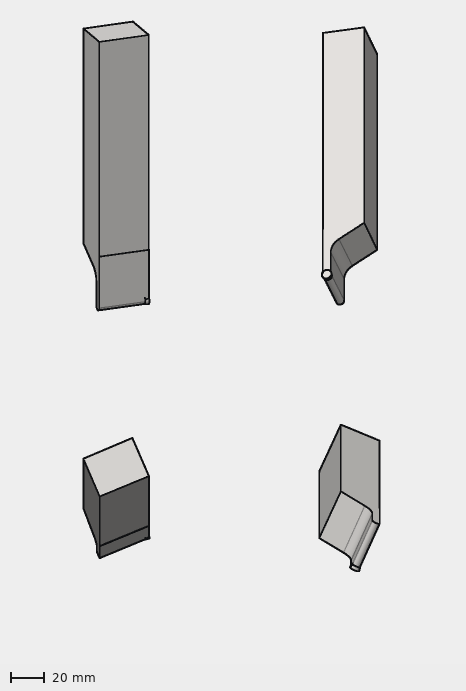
import cadquery as cq
import math

total_height = 171.4
total_width = 26.0
total_depth = 32.0

insert_diameter = 6.0
insert_seat_diameter = 5.3
insert_thickness = 2.5
insert_overhang = 0.2
insert_x = total_width - insert_diameter / 2
insert_z = insert_diameter / 2

holder_depth = total_depth - insert_overhang
shank_right = 25.4
shank_bottom = 35.3
side_relief = 0.25

blade_width = 5.0
blade_left = insert_x - blade_width / 2
blade_right = insert_x + blade_width / 2
blade_radius = blade_width / 2
shoulder_angle = math.radians(30)
shoulder_radius = 10.0


def make_holder_profile():
    """Shank, sloping shoulder and round-ended blade as one XZ outline, extruded toward +Y."""
    fillet_span = shoulder_radius * math.tan((math.pi / 2 - shoulder_angle) / 2)
    corner_z = shank_bottom - blade_left * math.tan(shoulder_angle)
    slope_end = (
        blade_left - fillet_span * math.cos(shoulder_angle),
        corner_z + fillet_span * math.sin(shoulder_angle),
    )
    fillet_end = (blade_left, corner_z - fillet_span)
    fillet_middle_angle = (math.pi / 2 - shoulder_angle) / 2
    fillet_middle = (
        blade_left - shoulder_radius * (1 - math.cos(fillet_middle_angle)),
        fillet_end[1] + shoulder_radius * math.sin(fillet_middle_angle),
    )
    return (
        cq.Workplane("XZ")
        .moveTo(0, total_height)
        .lineTo(0, shank_bottom)
        .lineTo(*slope_end)
        .threePointArc(fillet_middle, fillet_end)
        .lineTo(blade_left, insert_z)
        .threePointArc((insert_x, insert_z - blade_radius), (blade_right, insert_z))
        .lineTo(blade_right, shank_bottom)
        .lineTo(shank_right, shank_bottom)
        .lineTo(shank_right, total_height)
        .close()
        .extrude(-holder_depth)
    )


def make_side_relief():
    """Thin wedge that leans the left side in toward the front face."""
    return (
        cq.Workplane("XY")
        .polyline([(0, 0), (side_relief, 0), (0, holder_depth)])
        .close()
        .extrude(total_height)
    )


def make_insert():
    """Tapered disc, widest at its rear cutting face."""
    return (
        cq.Workplane("XZ", origin=(insert_x, total_depth, insert_z))
        .circle(insert_diameter / 2)
        .workplane(offset=insert_thickness)
        .circle(insert_seat_diameter / 2)
        .loft(ruled=True)
    )


insert = make_insert().val()
holder = make_holder_profile().cut(make_side_relief()).cut(insert).solids().val()

result = cq.Compound.makeCompound([holder, insert])